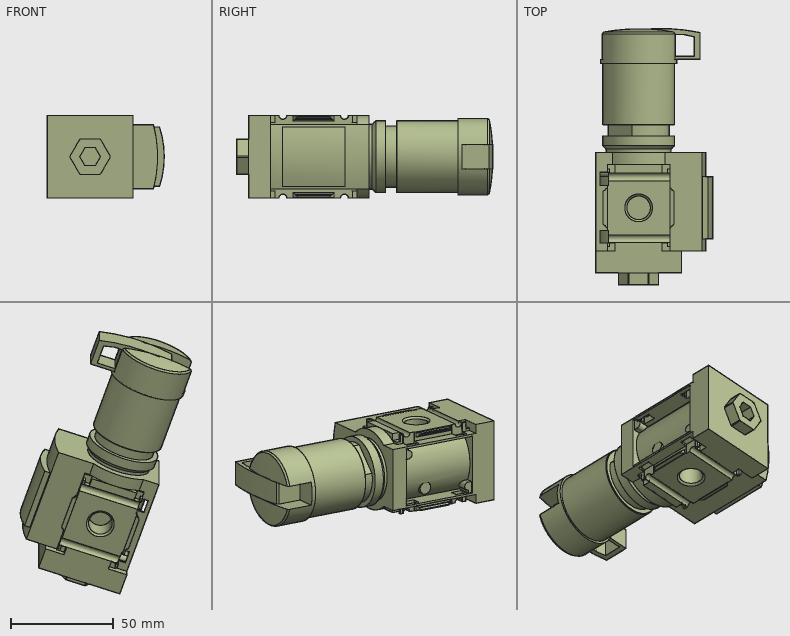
import cadquery as cq
import math

NUT_END = -5.9
BASE_TOP = 10.6
PAD_END = 52.6
HOUSING_TOP = 58.5
KNOB_TOP = NUT_END + 124.6

HALF_WIDTH = 41.7 / 2
HALF_HEIGHT = 40.2 / 2
FRAME_HALF_HEIGHT = 15.6

PAD_HALF_WIDTH = 15.2
PAD_MIDDLE = (BASE_TOP + PAD_END) / 2
GROOVE_OFFSET = 15.0
GROOVE_RADIUS = 1.9
CORNER_WIDTH = 3.7
CORNER_LENGTH = 4.0
CORNER_FLOOR = 16.7
POST_WIDTH = 1.1
POST_LENGTH = 1.9
PORT_DIAMETER = 11.5
PORT_MOUTH_DIAMETER = 13.5
PORT_DEPTH = 12.5

FLANGE_REACH = 2.0
FLANGE_LENGTH = 19.8
FLANGE_TOP = 19.7
FLANGE_LIP = 0.5
FLANGE_STEP_TOP = 18.6
FLANGE_STEP_BOTTOM = 18.2
FLANGE_ROOT = 17.5

WINDOW_HALF_LENGTH = 19.1
WINDOW_HALF_HEIGHT = 14.5
CORE_DIAMETER = 37.3
BOSS_RADIUS = 2.1
BOSS_OFFSET = 17.3
BOSS_HEIGHT = 11.0
BOSS_FACE = 19.9
PIN_DIAMETER = 6.1
PIN_Y = 37.6
PIN_Z = -8.5
PIN_FACE = 17.7

SLOT_OUTER = 18.7
SLOT_INNER = 14.7
SLOT_SPANS = [(14.6, 20.5), (42.4, 48.8)]

GAUGE_EDGE = 30.8
GAUGE_CREST = 32.8
LENS_CREST = 57.0 - HALF_WIDTH
LENS_EDGE = 33.8
LENS_HALF_HEIGHT = 14.5
LENS_START = 16.6
LENS_END = 46.7

HEX_FLATS = 17.2
HEX_CORNER_DIAMETER = 19.5
SOCKET_FLATS = 8.7
SOCKET_DEPTH = 7.5

THROAT_RADIUS = 31.6 / 2
COLLAR_RADIUS = 35.0 / 2
COLLAR_START = 61.8
COLLAR_CONE_START = 60.0
COLLAR_END = 66.5
NECK_RADIUS = 15.0
NECK_FLAT_DISTANCE = 12.6
SLEEVE_RADIUS = COLLAR_RADIUS
SLEEVE_START = 71.8
SLEEVE_CHAMFER = 0.4
CAP_RADIUS = 37.3 / 2
CAP_START = 101.7
CAP_SHOULDER = 116.0
DOME_EDGE_RADIUS = 18.0
DOME_EDGE = 117.0

TAB_HALF_THICKNESS = 5.9
TAB_BOTTOM = 103.7
TAB_TRAVEL = 10.8
TAB_TIP = 29.9
EYE_START = 18.0
EYE_BEND = 21.8
EYE_END = 26.9
EYE_BOTTOM = 105.3
EYE_TOP = 115.8
EYE_TIP_TOP = 114.6


def block(x_span, y_span, z_span):
    """Box given by its lower and upper limit along each axis."""
    return cq.Workplane("XY").box(
        x_span[1] - x_span[0], y_span[1] - y_span[0], z_span[1] - z_span[0], centered=False
    ).translate((x_span[0], y_span[0], z_span[0]))


def cylinder_along_x(radius, x_span, y, z):
    return cq.Workplane("YZ", origin=(x_span[0], y, z)).circle(radius).extrude(x_span[1] - x_span[0])


def along_y(y_start):
    """Workplane normal to +Y, with its local x along -X and local y along +Z."""
    return cq.Workplane("XZ", origin=(0, y_start, 0)).transformed(rotate=(0, 180, 0))


def hexagon(flats, y_start, y_end):
    """Hexagonal prism along Y with two flats facing up and down."""
    corner_diameter = flats / math.cos(math.pi / 6)
    return along_y(y_start).polygon(6, corner_diameter).extrude(y_end - y_start)


def pad_flange(side):
    """Tapering flange on one side of the upper pad: thin lip, stepped slopes below and bevelled ends."""
    root = side * PAD_HALF_WIDTH
    tip = side * (PAD_HALF_WIDTH + FLANGE_REACH)
    middle = (root + tip) / 2
    half = FLANGE_LENGTH / 2
    profile = (
        cq.Workplane("XZ", origin=(0, PAD_MIDDLE + half, 0))
        .polyline([
            (root, FLANGE_ROOT),
            (middle, FLANGE_STEP_BOTTOM),
            (middle, FLANGE_STEP_TOP),
            (tip, FLANGE_TOP - FLANGE_LIP),
            (tip, FLANGE_TOP),
            (root, FLANGE_TOP),
        ])
        .close()
        .extrude(FLANGE_LENGTH)
    )
    outline = (
        cq.Workplane("XY", origin=(0, PAD_MIDDLE, 0))
        .polyline([
            (root, -half),
            (tip, -half + FLANGE_REACH),
            (tip, half - FLANGE_REACH),
            (root, half),
        ])
        .close()
        .extrude(HALF_HEIGHT)
    )
    return profile.intersect(outline)


def corner_recess(side, end):
    """Recess in one pad corner, leaving a small post at the pad side."""
    outer = side * PAD_HALF_WIDTH
    inner = side * (PAD_HALF_WIDTH - CORNER_WIDTH)
    post_inner = side * (PAD_HALF_WIDTH - POST_WIDTH)
    far = PAD_MIDDLE + end * (PAD_END - BASE_TOP) / 2
    near = far - end * CORNER_LENGTH
    post_end = near + end * POST_LENGTH
    heights = (CORNER_FLOOR, HALF_HEIGHT)
    recess = block(sorted((inner, outer)), sorted((near, far)), heights)
    post = block(sorted((post_inner, outer)), sorted((near, post_end)), heights)
    return recess.cut(post)


def port():
    """Blind port with a chamfered mouth."""
    mouth_chamfer = (PORT_MOUTH_DIAMETER - PORT_DIAMETER) / 2
    return (
        cq.Workplane("XZ", origin=(0, PAD_MIDDLE, 0))
        .polyline([
            (0, HALF_HEIGHT - PORT_DEPTH),
            (PORT_DIAMETER / 2, HALF_HEIGHT - PORT_DEPTH),
            (PORT_DIAMETER / 2, HALF_HEIGHT - mouth_chamfer),
            (PORT_MOUTH_DIAMETER / 2, HALF_HEIGHT),
            (0, HALF_HEIGHT),
        ])
        .close()
        .revolve(360, (0, 0, 0), (0, 1, 0))
    )


def port_pad():
    """Upper pad with its flanges, grooves and corner recesses."""
    pad_width = (-PAD_HALF_WIDTH, PAD_HALF_WIDTH)
    pad = block(pad_width, (BASE_TOP, PAD_END), (0, HALF_HEIGHT))
    for side in (-1, 1):
        pad = pad.union(pad_flange(side))
        groove = cylinder_along_x(GROOVE_RADIUS, pad_width, PAD_MIDDLE + side * GROOVE_OFFSET, HALF_HEIGHT)
        pad = pad.cut(groove)
        for end in (-1, 1):
            pad = pad.cut(corner_recess(side, end))
    return pad


def wall_slots():
    """Rectangular slots from the upper face down into the window."""
    slots = cq.Workplane("XY")
    for span in SLOT_SPANS:
        slots = slots.add(block((-SLOT_OUTER, -SLOT_INNER), span, (WINDOW_HALF_HEIGHT, HALF_HEIGHT)))
    return slots.combine()


def corner_boss():
    """Half-round boss in the upper rear corner of the window."""
    depth = (-BOSS_FACE, 0)
    centre = PAD_MIDDLE + BOSS_OFFSET
    back = PAD_MIDDLE + WINDOW_HALF_LENGTH
    boss = cylinder_along_x(BOSS_RADIUS, depth, centre, BOSS_HEIGHT)
    return boss.union(block(depth, (centre, back), (BOSS_HEIGHT - BOSS_RADIUS, WINDOW_HALF_HEIGHT)))


def side_window():
    """Window pocket around the core, the corner bosses and the pin."""
    window = block(
        (-HALF_WIDTH, 0),
        (PAD_MIDDLE - WINDOW_HALF_LENGTH, PAD_MIDDLE + WINDOW_HALF_LENGTH),
        (-WINDOW_HALF_HEIGHT, WINDOW_HALF_HEIGHT),
    )
    core = along_y(BASE_TOP).circle(CORE_DIAMETER / 2).extrude(PAD_END - BASE_TOP)
    boss = corner_boss()
    opposite_boss = boss.rotate((0, PAD_MIDDLE, 0), (1, PAD_MIDDLE, 0), 180)
    pin = cylinder_along_x(PIN_DIAMETER / 2, (-PIN_FACE, 0), PIN_Y, PIN_Z)
    return window.cut(core).cut(boss).cut(opposite_boss).cut(pin)


def curved_plate(start_x, edge_x, crest_x, half_height, y_start, y_end):
    """Plate along Y whose +X face bulges from edge_x to crest_x."""
    return (
        cq.Workplane("XZ", origin=(0, y_end, 0))
        .moveTo(start_x, -half_height)
        .lineTo(edge_x, -half_height)
        .threePointArc((crest_x, 0), (edge_x, half_height))
        .lineTo(start_x, half_height)
        .close()
        .extrude(y_end - y_start)
    )


def gauge():
    base = curved_plate(0, GAUGE_EDGE, GAUGE_CREST, FRAME_HALF_HEIGHT, BASE_TOP, HOUSING_TOP)
    lens = curved_plate(GAUGE_EDGE, LENS_EDGE, LENS_CREST, LENS_HALF_HEIGHT, LENS_START, LENS_END)
    return base.union(lens)


def hex_plug():
    """Hexagon plug with trimmed corners and a hexagon socket."""
    plug = hexagon(HEX_FLATS, NUT_END, 0)
    trim = along_y(NUT_END).circle(HEX_CORNER_DIAMETER / 2).extrude(-NUT_END)
    socket = hexagon(SOCKET_FLATS, NUT_END, NUT_END + SOCKET_DEPTH)
    return plug.intersect(trim).cut(socket)


def dome_level(distance):
    """Y of the cap dome at a distance from its peak."""
    drop = KNOB_TOP - DOME_EDGE
    sphere_radius = (DOME_EDGE_RADIUS ** 2 + drop ** 2) / (2 * drop)
    return KNOB_TOP - sphere_radius + math.sqrt(sphere_radius ** 2 - distance ** 2)


def knob():
    """Turned throat, collar, neck, sleeve and domed cap."""
    middle_radius = DOME_EDGE_RADIUS / 2
    turned = (
        cq.Workplane("XY")
        .moveTo(0, PAD_END)
        .lineTo(THROAT_RADIUS, PAD_END)
        .lineTo(THROAT_RADIUS, COLLAR_CONE_START)
        .lineTo(COLLAR_RADIUS, COLLAR_START)
        .lineTo(COLLAR_RADIUS, COLLAR_END)
        .lineTo(NECK_RADIUS, COLLAR_END)
        .lineTo(NECK_RADIUS, SLEEVE_START)
        .lineTo(SLEEVE_RADIUS - SLEEVE_CHAMFER, SLEEVE_START)
        .lineTo(SLEEVE_RADIUS, SLEEVE_START + SLEEVE_CHAMFER)
        .lineTo(SLEEVE_RADIUS, CAP_START)
        .lineTo(CAP_RADIUS, CAP_START)
        .lineTo(CAP_RADIUS, CAP_SHOULDER)
        .lineTo(DOME_EDGE_RADIUS, DOME_EDGE)
        .threePointArc((middle_radius, dome_level(middle_radius)), (0, KNOB_TOP))
        .close()
        .revolve(360, (0, 0, 0), (0, 1, 0))
    )
    flat = block(
        (-2 * NECK_RADIUS, -NECK_FLAT_DISTANCE),
        (COLLAR_END, SLEEVE_START),
        (-NECK_RADIUS, NECK_RADIUS),
    ).rotate((0, 0, 0), (0, 1, 0), 45)
    slot = block(
        (-CAP_RADIUS, CAP_RADIUS),
        (TAB_BOTTOM, KNOB_TOP),
        (-TAB_HALF_THICKNESS, TAB_HALF_THICKNESS),
    )
    return turned.cut(flat).cut(slot)


def build_housing():
    width = (-HALF_WIDTH, HALF_WIDTH)
    base = block(width, (0, BASE_TOP), (-HALF_HEIGHT, HALF_HEIGHT))
    frame = block(width, (0, HOUSING_TOP), (-FRAME_HALF_HEIGHT, FRAME_HALF_HEIGHT))
    shoulder = along_y(PAD_END).circle(HALF_HEIGHT).extrude(HOUSING_TOP - PAD_END)
    body = base.union(frame).union(shoulder).union(gauge())
    upper_pad = port_pad()
    body = body.union(upper_pad).union(upper_pad.mirror("XY"))
    body = body.cut(side_window())
    for tool in (port(), wall_slots()):
        body = body.cut(tool).cut(tool.mirror("XY"))
    return body.union(hex_plug()).union(knob())


def build_lock_tab():
    """Flat tab with the cap's edge and dome profile, drawn out of its slot along +X to show its eye."""
    thickness = 2 * TAB_HALF_THICKNESS
    plane = cq.Workplane("XY", origin=(0, 0, -TAB_HALF_THICKNESS))
    tab = (
        plane.moveTo(TAB_TRAVEL - CAP_RADIUS, TAB_BOTTOM)
        .lineTo(TAB_TIP, TAB_BOTTOM)
        .lineTo(TAB_TIP, dome_level(TAB_TIP - TAB_TRAVEL))
        .threePointArc((TAB_TRAVEL, KNOB_TOP), (TAB_TRAVEL - DOME_EDGE_RADIUS, DOME_EDGE))
        .lineTo(TAB_TRAVEL - CAP_RADIUS, CAP_SHOULDER)
        .close()
        .extrude(thickness)
    )
    eye = (
        plane.polyline([
            (EYE_START, EYE_BOTTOM),
            (EYE_END, EYE_BOTTOM),
            (EYE_END, EYE_TIP_TOP),
            (EYE_BEND, EYE_TOP),
            (EYE_START, EYE_TOP),
        ])
        .close()
        .extrude(thickness)
    )
    return tab.cut(eye)


housing = build_housing().solids()
lock_tab = build_lock_tab().solids()

result = cq.Compound.makeCompound([housing.val(), lock_tab.val()])